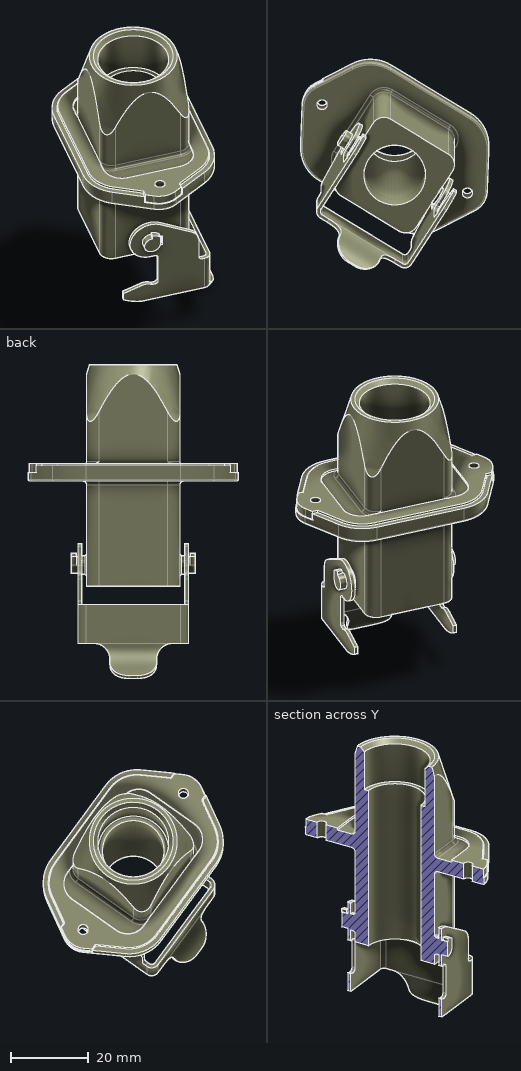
import cadquery as cq
import math


BODY_HALF = 12.0
BODY_CORNER = 3.2
BODY_TOP = 56.9
ROOT_RADIUS = 1.0
NECK_TOP_RADIUS = 11.3
NECK_TAPER = 0.3

THROUGH_RADIUS = 7.9
SOCKET_RADIUS = 9.1
SOCKET_DEPTH = 12.0
MOUTH_CHAMFER = 1.1

FLANGE_BOTTOM = 27.0
FLANGE_TOP = 31.6
FLANGE_HALF_LENGTH = 27.0
FLANGE_HALF_WIDTH = 17.5
FLANGE_CORNER = 10.0
FLANGE_END_RADIUS = 6.05
FLANGE_SLOPE = math.radians(30)
FLANGE_EDGE_RADIUS = 0.5
RIM_WIDTH = 1.3
RIM_GAP = 0.25
RIM_DROP = 0.5
RIM_FLOOR = 29.2
EAR_HALF_WIDTH = 4.8
POCKET_HALF_LENGTH = 17.2
POCKET_CORNER = 5.0
POCKET_DEPTH = 0.6
POCKET_FLOOR = FLANGE_TOP - POCKET_DEPTH
SCREW_X = 22.0
SCREW_RADIUS = 1.3

PIVOT_Z = 5.5
SHEET = 1.0
LEVER_HALF_WIDTH = 14.2
LEVER_INNER = LEVER_HALF_WIDTH - SHEET
LEVER_HEAD_RADIUS = 5.5
LEVER_SLOPE = math.radians(30)
LEVER_BACK = 16.6
LEVER_SHOULDER_Y = 13.1
LEVER_SHOULDER_RADIUS = 4.0
LEVER_BEND_RADIUS = 2.0
LEVER_SMALL_RADIUS = 1.0
LEVER_BOTTOM = -14.7
LEVER_BACK_TOP = -4.6
LEVER_THROAT_Y = 2.1
HOOK_GAP_Z = -9.7
HOOK_GAP_END_Y = 0.5
HOOK_CREST_BACK = (-0.2, -9.35)
HOOK_CREST = (-1.3, -9.1)
HOOK_CREST_FRONT = (-2.4, -9.3)
HOOK_TIP_Y = -7.25
HOOK_TIP_TOP = -10.6
HOOK_TIP_BOTTOM = -12.8
HOOK_BELLY = (-5.0, -13.95)
HOOK_BEND_Y = -2.4

TAB_CURL_RADIUS = 9.9
TAB_CURL_ANGLE = math.radians(56)
TAB_HALF_WIDTH = 6.05
TAB_ROOT_RADIUS = 4.0
TAB_TIP_RADIUS = 5.0

PIN_RADIUS = 2.2
PIN_END = 15.95
LUG_RADIUS = 3.1
LUG_START = 14.6
COLLAR_BASE_RADIUS = 2.8
COLLAR_RADIUS = 2.4
COLLAR_FLARE = 0.4
SLOT_REACH_Y = 3.3
SLOT_TOP = 1.1
SLOT_SIDE_TOP = 0.5


def level(z):
    return cq.Workplane("XY").workplane(offset=z)


def side_plane(x):
    """Sketch plane at the given X, with Y to the right and Z up."""
    return cq.Workplane("YZ", origin=(x, 0, 0))


def rounded_box(z, height, half_x, half_y, corner):
    box = level(z).rect(2 * half_x, 2 * half_y).extrude(height)
    return box.edges("|Z").fillet(corner)


def flange_prism(z, height, inset=0.0):
    """Flange outline, drawn inwards by the inset and extruded from z."""
    sine = math.sin(FLANGE_SLOPE)
    cosine = math.cos(FLANGE_SLOPE)
    end_center = FLANGE_HALF_LENGTH - FLANGE_END_RADIUS
    half_width = FLANGE_HALF_WIDTH - inset
    slope_distance = end_center * cosine + FLANGE_END_RADIUS - inset
    tip_x = slope_distance / cosine
    corner_x = (slope_distance - half_width * sine) / cosine
    hexagon = [
        (tip_x, 0),
        (corner_x, half_width),
        (-corner_x, half_width),
        (-tip_x, 0),
        (-corner_x, -half_width),
        (corner_x, -half_width),
    ]
    prism = level(z).polyline(hexagon).close().extrude(height)
    prism = prism.edges("|Z and (<X or >X)").fillet(FLANGE_END_RADIUS - inset)
    return prism.edges("|Z and (<Y or >Y)").fillet(FLANGE_CORNER - inset)


def ear_strip(half_width):
    strip = level(RIM_FLOOR).rect(3 * FLANGE_HALF_LENGTH, 2 * half_width)
    return strip.extrude(FLANGE_TOP - RIM_FLOOR)


def flange():
    """Base plate carrying a raised core with two ears, and a lower rim set off by a groove."""
    base = flange_prism(FLANGE_BOTTOM, RIM_FLOOR - FLANGE_BOTTOM)
    base = base.faces("<Z").edges().fillet(FLANGE_EDGE_RADIUS)
    core_height = FLANGE_TOP - RIM_FLOOR
    core = flange_prism(RIM_FLOOR, core_height, RIM_WIDTH + RIM_GAP)
    ears = flange_prism(RIM_FLOOR, core_height, RIM_GAP).intersect(ear_strip(EAR_HALF_WIDTH))
    rim = flange_prism(RIM_FLOOR, core_height - RIM_DROP)
    rim = rim.cut(flange_prism(RIM_FLOOR, core_height, RIM_WIDTH))
    rim = rim.cut(ear_strip(EAR_HALF_WIDTH + RIM_GAP))
    return base.union(core).union(ears).union(rim)


def pocket_block(height):
    return rounded_box(POCKET_FLOOR, height, POCKET_HALF_LENGTH, BODY_HALF, POCKET_CORNER)


def screw_holes():
    centers = level(FLANGE_BOTTOM).pushPoints([(-SCREW_X, 0), (SCREW_X, 0)])
    return centers.circle(SCREW_RADIUS).extrude(FLANGE_TOP - FLANGE_BOTTOM)


def body_column():
    return rounded_box(0, BODY_TOP, BODY_HALF, BODY_HALF, BODY_CORNER)


def root_fillets():
    """Blends from the body onto the flange underside and, along X only, onto the pocket floor."""
    slab_side = 4 * BODY_HALF
    slab = level(FLANGE_BOTTOM).rect(slab_side, slab_side).extrude(POCKET_FLOOR - FLANGE_BOTTOM)
    reach = BODY_HALF + ROOT_RADIUS
    root_zone = cq.selectors.BoxSelector(
        (-reach, -reach, FLANGE_BOTTOM - ROOT_RADIUS),
        (reach, reach, POCKET_FLOOR + ROOT_RADIUS),
    )
    blended = body_column().union(slab).edges(root_zone).fillet(ROOT_RADIUS)
    below = level(FLANGE_BOTTOM).rect(slab_side, slab_side).extrude(-ROOT_RADIUS)
    return blended.intersect(below.union(pocket_block(ROOT_RADIUS)))


def neck_cone():
    base_radius = NECK_TOP_RADIUS + NECK_TAPER * BODY_TOP
    return cq.Workplane(cq.Solid.makeCone(base_radius, NECK_TOP_RADIUS, BODY_TOP))


def bore():
    socket_floor = BODY_TOP - SOCKET_DEPTH
    return (
        cq.Workplane("XZ")
        .lineTo(THROUGH_RADIUS, 0)
        .lineTo(THROUGH_RADIUS, socket_floor)
        .lineTo(SOCKET_RADIUS, socket_floor)
        .lineTo(SOCKET_RADIUS, BODY_TOP - MOUTH_CHAMFER)
        .lineTo(SOCKET_RADIUS + MOUTH_CHAMFER, BODY_TOP)
        .lineTo(0, BODY_TOP)
        .close()
        .revolve(360, (0, 0), (0, 1))
    )


def housing():
    column = body_column().intersect(neck_cone())
    pocketed_flange = flange().cut(pocket_block(POCKET_DEPTH)).cut(screw_holes())
    return pocketed_flange.union(column).union(root_fillets()).cut(bore())


def round_edge(solid, y, z, radius):
    """Fillet the edge along X that passes through the given Y and Z."""
    return solid.edges("|X").edges(cq.NearestToPointSelector((0, y, z))).fillet(radius)


def lever_block():
    """Side outline of the lever, extruded over its full width."""
    sine = math.sin(LEVER_SLOPE)
    cosine = math.cos(LEVER_SLOPE)
    head_bottom = PIVOT_Z - LEVER_HEAD_RADIUS
    slope_start = (LEVER_HEAD_RADIUS * sine, PIVOT_Z + LEVER_HEAD_RADIUS * cosine)
    head_mid = (-LEVER_HEAD_RADIUS * cosine, PIVOT_Z + LEVER_HEAD_RADIUS * sine)
    shoulder_z = slope_start[1] - (LEVER_SHOULDER_Y - slope_start[0]) * math.tan(LEVER_SLOPE)
    block = (
        side_plane(-LEVER_HALF_WIDTH)
        .moveTo(*slope_start)
        .lineTo(LEVER_SHOULDER_Y, shoulder_z)
        .lineTo(LEVER_SHOULDER_Y, LEVER_BACK_TOP)
        .lineTo(LEVER_BACK, LEVER_BACK_TOP)
        .lineTo(LEVER_BACK, LEVER_BOTTOM)
        .lineTo(HOOK_BEND_Y, LEVER_BOTTOM)
        .threePointArc(HOOK_BELLY, (HOOK_TIP_Y, HOOK_TIP_BOTTOM))
        .lineTo(HOOK_TIP_Y, HOOK_TIP_TOP)
        .lineTo(*HOOK_CREST_FRONT)
        .threePointArc(HOOK_CREST, HOOK_CREST_BACK)
        .lineTo(HOOK_GAP_END_Y, HOOK_GAP_Z)
        .lineTo(LEVER_THROAT_Y, HOOK_GAP_Z)
        .lineTo(LEVER_THROAT_Y, head_bottom)
        .lineTo(0, head_bottom)
        .threePointArc(head_mid, slope_start)
        .close()
        .extrude(2 * LEVER_HALF_WIDTH)
    )
    block = round_edge(block, LEVER_SHOULDER_Y, shoulder_z, LEVER_SHOULDER_RADIUS)
    block = round_edge(block, LEVER_SHOULDER_Y, LEVER_BACK_TOP, LEVER_SMALL_RADIUS)
    block = round_edge(block, LEVER_THROAT_Y, head_bottom, LEVER_SMALL_RADIUS)
    return round_edge(block, LEVER_THROAT_Y, HOOK_GAP_Z, LEVER_SMALL_RADIUS)


def lever():
    hollow_length = 2 * LEVER_BACK
    hollow = (
        level(LEVER_BOTTOM)
        .center(0, LEVER_BACK - SHEET - hollow_length / 2)
        .rect(2 * LEVER_INNER, hollow_length)
        .extrude(hollow_length)
        .edges("|Z and >Y")
        .fillet(LEVER_BEND_RADIUS - SHEET)
    )
    block = lever_block().edges("|Z and >Y").fillet(LEVER_BEND_RADIUS)
    return block.cut(hollow).cut(lug_slots())


def lug_slots():
    """Openings beside each pin that let its lug through the lever."""
    outline = [
        (0, -PIN_RADIUS),
        (SLOT_REACH_Y, -PIN_RADIUS),
        (SLOT_REACH_Y, SLOT_SIDE_TOP),
        (PIN_RADIUS, SLOT_TOP),
        (0, SLOT_TOP),
    ]
    sketch = side_plane(-LEVER_HALF_WIDTH).center(0, PIVOT_Z).polyline(outline).close()
    return sketch.extrude(2 * LEVER_HALF_WIDTH)


def curled_sheet(half_width):
    """Sheet that leaves the lever's back wall downwards and curls outwards."""
    center_y = LEVER_BACK + TAB_CURL_RADIUS
    far_radius = TAB_CURL_RADIUS + SHEET
    mid_angle = TAB_CURL_ANGLE / 2

    def on_arc(radius, angle):
        return (center_y - radius * math.cos(angle), LEVER_BOTTOM - radius * math.sin(angle))

    return (
        side_plane(-half_width)
        .moveTo(*on_arc(TAB_CURL_RADIUS, 0))
        .threePointArc(on_arc(TAB_CURL_RADIUS, mid_angle), on_arc(TAB_CURL_RADIUS, TAB_CURL_ANGLE))
        .lineTo(*on_arc(far_radius, TAB_CURL_ANGLE))
        .threePointArc(on_arc(far_radius, mid_angle), on_arc(far_radius, 0))
        .close()
        .extrude(2 * half_width)
    )


def rounded_tip_plate():
    """Strip outline with two rounded corners, standing square to the sheet at the tab's tip."""
    length = 2 * TAB_CURL_RADIUS
    sine = math.sin(TAB_CURL_ANGLE)
    cosine = math.cos(TAB_CURL_ANGLE)
    tip = (
        0,
        LEVER_BACK + TAB_CURL_RADIUS * (1 - cosine),
        LEVER_BOTTOM - TAB_CURL_RADIUS * sine,
    )
    tip_plane = cq.Plane(origin=tip, xDir=(1, 0, 0), normal=(0, -cosine, -sine))
    plate = cq.Workplane(tip_plane).center(0, length / 2).rect(2 * TAB_HALF_WIDTH, length)
    plate = plate.extrude(length, both=True)
    tip_corners = plate.edges(cq.selectors.ParallelDirSelector(tip_plane.zDir)).edges("<Z")
    return tip_corners.fillet(TAB_TIP_RADIUS)


def tab():
    root_z = LEVER_BOTTOM - TAB_ROOT_RADIUS
    root_half_width = TAB_HALF_WIDTH + TAB_ROOT_RADIUS
    flare = cq.Workplane("XZ").rect(2 * root_half_width, -2 * root_z).extrude(-2 * LEVER_BACK)
    corners = cq.Workplane("XZ").pushPoints([(-root_half_width, root_z), (root_half_width, root_z)])
    flare = flare.cut(corners.circle(TAB_ROOT_RADIUS).extrude(-2 * LEVER_BACK))
    return curled_sheet(root_half_width).intersect(rounded_tip_plate().union(flare))


def pin():
    """Pin on the +X side: collar against the body, shaft, and lug at the outer end."""
    start = side_plane(BODY_HALF).center(0, PIVOT_Z)
    shaft = start.circle(PIN_RADIUS).extrude(PIN_END - BODY_HALF)
    collar = start.circle(COLLAR_RADIUS).extrude(LEVER_INNER - BODY_HALF)
    flare = (
        start.circle(COLLAR_BASE_RADIUS)
        .workplane(offset=COLLAR_FLARE)
        .circle(COLLAR_RADIUS)
        .loft()
    )
    lug_length = PIN_END - LUG_START
    lug_start = side_plane(LUG_START).center(0, PIVOT_Z)
    quadrant = lug_start.rect(PIN_RADIUS, LUG_RADIUS, centered=False).extrude(lug_length)
    lug = lug_start.circle(LUG_RADIUS).extrude(lug_length).intersect(quadrant)
    return shaft.union(collar).union(flare).union(lug)


right_pin = pin()
left_pin = right_pin.mirror("YZ")
result = housing().union(lever()).union(tab()).union(right_pin).union(left_pin)